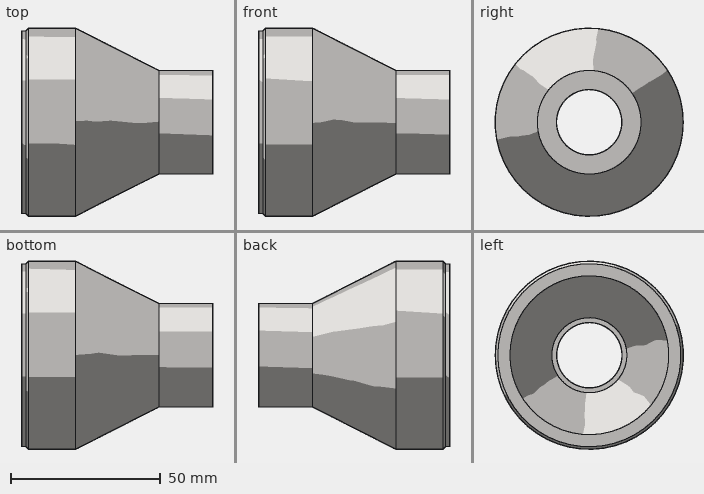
import cadquery as cq

total_length = 64.0
lip_length = 1.4
chamfer_length = 0.9
body_end = 18.1
cone_end = 45.95

bore_depth = 15.7
bore_cone_end = bore_depth + cone_end - body_end

body_radius = 31.5
lip_radius = 30.6
neck_radius = 17.35

large_bore_radius = 26.55
cone_bore_end_radius = 12.55
neck_bore_radius = 10.9


def outer_body():
    """Stepped lip, chamfer, wide body, cone and neck."""
    return (
        cq.Workplane("XY")
        .lineTo(0, lip_radius)
        .lineTo(lip_length, lip_radius)
        .lineTo(lip_length + chamfer_length, body_radius)
        .lineTo(body_end, body_radius)
        .lineTo(cone_end, neck_radius)
        .lineTo(total_length, neck_radius)
        .lineTo(total_length, 0)
        .close()
        .revolve(360, (0, 0, 0), (1, 0, 0))
    )


def inner_cavity():
    """Large bore, cone down to a small ledge, then the neck bore."""
    return (
        cq.Workplane("XY")
        .lineTo(0, large_bore_radius)
        .lineTo(bore_depth, large_bore_radius)
        .lineTo(bore_cone_end, cone_bore_end_radius)
        .lineTo(bore_cone_end, neck_bore_radius)
        .lineTo(total_length, neck_bore_radius)
        .lineTo(total_length, 0)
        .close()
        .revolve(360, (0, 0, 0), (1, 0, 0))
    )


result = outer_body().cut(inner_cavity())